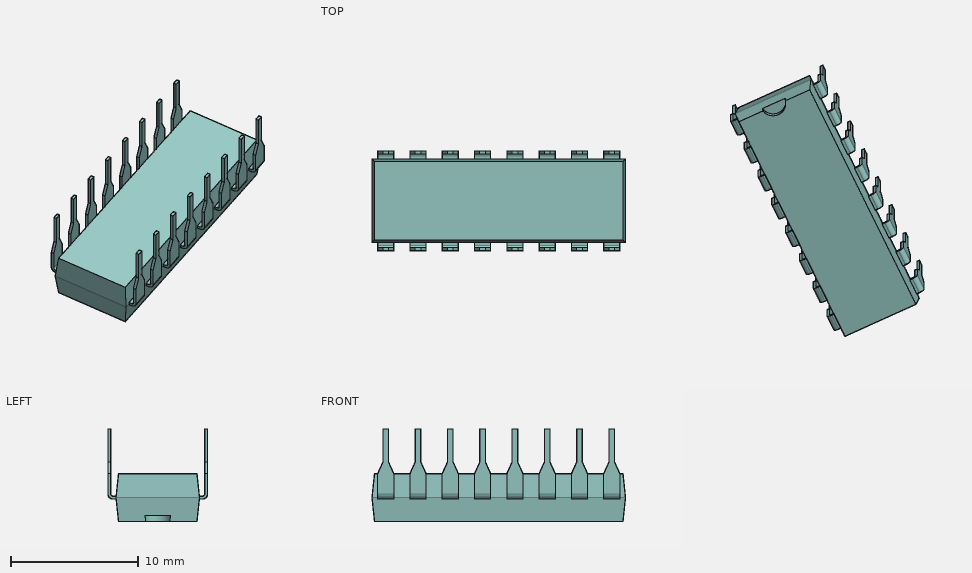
import cadquery as cq

body_length = 19.96
body_width = 6.59
body_height = 3.8
body_inset = 0.2
half_height = body_height / 2

notch_radius = 1.0
notch_depth = 0.5

overall_width = 7.86
overall_height = 7.3
leads_per_row = 8
row_length = 17.78
lead_thickness = 0.24
lead_wide = 1.28
lead_narrow = 0.45
bend_inner_radius = 0.18
taper_height = 0.9
lead_embed = 0.4

lead_pitch = row_length / (leads_per_row - 1)
bend_outer_radius = bend_inner_radius + lead_thickness
lead_outer_y = overall_width / 2
lead_inner_y = lead_outer_y - lead_thickness
bend_start_y = lead_outer_y - bend_outer_radius
lead_root_y = body_width / 2 - lead_embed
lead_bottom_z = -lead_thickness / 2
bend_end_z = lead_bottom_z + bend_outer_radius
lead_tip_z = overall_height - half_height
taper_start_z = half_height
taper_end_z = taper_start_z + taper_height


def body_half(end_z):
    """Frustum from the parting plane to the end face at end_z."""
    return (
        cq.Workplane("XY")
        .rect(body_length, body_width)
        .workplane(offset=end_z)
        .rect(body_length - 2 * body_inset, body_width - 2 * body_inset)
        .loft(ruled=True)
    )


def pin_one_notch():
    """Upright cylinder centred on the -X end of the body."""
    return (
        cq.Workplane("XY", origin=(-body_length / 2, 0, -half_height))
        .circle(notch_radius)
        .extrude(notch_depth)
    )


def lead():
    """One lead on the +Y side, centred on X = 0."""
    bent_strip = (
        cq.Workplane("YZ")
        .moveTo(lead_root_y, lead_bottom_z)
        .lineTo(bend_start_y, lead_bottom_z)
        .radiusArc((lead_outer_y, bend_end_z), -bend_outer_radius)
        .lineTo(lead_outer_y, lead_tip_z)
        .lineTo(lead_inner_y, lead_tip_z)
        .lineTo(lead_inner_y, bend_end_z)
        .radiusArc((bend_start_y, lead_bottom_z + lead_thickness), bend_inner_radius)
        .lineTo(lead_root_y, lead_bottom_z + lead_thickness)
        .close()
        .extrude(lead_wide / 2, both=True)
    )
    face_outline = (
        cq.Workplane("XZ")
        .moveTo(-lead_wide / 2, lead_bottom_z)
        .lineTo(lead_wide / 2, lead_bottom_z)
        .lineTo(lead_wide / 2, taper_start_z)
        .lineTo(lead_narrow / 2, taper_end_z)
        .lineTo(lead_narrow / 2, lead_tip_z)
        .lineTo(-lead_narrow / 2, lead_tip_z)
        .lineTo(-lead_narrow / 2, taper_end_z)
        .lineTo(-lead_wide / 2, taper_start_z)
        .close()
        .extrude(-lead_outer_y)
    )
    return bent_strip.intersect(face_outline)


result = body_half(half_height).union(body_half(-half_height)).cut(pin_one_notch())

back_lead = lead()
front_lead = back_lead.mirror("XZ")
for index in range(leads_per_row):
    lead_x = -row_length / 2 + index * lead_pitch
    result = result.union(back_lead.translate((lead_x, 0, 0)))
    result = result.union(front_lead.translate((lead_x, 0, 0)))